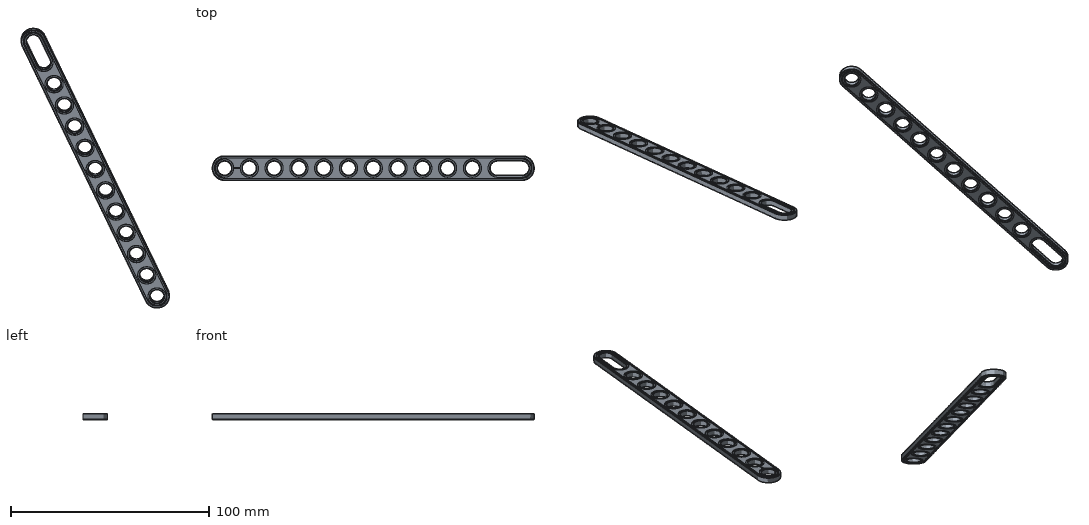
import cadquery as cq

length = 162.5
width = 12.5
thickness = width / 4

pitch = width
hole_count = 11
hole_diameter = 7.0
first_hole_x = -(length - width) / 2

slot_center_x = first_hole_x + (hole_count + 0.5) * pitch

border_diameter = 9.2
border_width = (border_diameter - hole_diameter) / 2
recess_depth = 0.2

edge_chamfer = 0.3

rib_length = 3.05
rib_width = 0.5


def rounded_bar(center_x, bar_width, straight_length, base_z, height):
    """Upright bar with semicircular ends, running along X."""
    profile = cq.Workplane("XY", origin=(center_x, 0, base_z)).slot2D(straight_length + bar_width, bar_width)
    return profile.extrude(height)


def openings(diameter, base_z, height):
    """All round holes and the slot as solids of the given width."""
    centers = [(first_hole_x + i * pitch, 0) for i in range(hole_count)]
    holes = cq.Workplane("XY", origin=(0, 0, base_z)).pushPoints(centers).circle(diameter / 2).extrude(height)
    return holes.union(rounded_bar(slot_center_x, diameter, pitch, base_z, height))


def chamfered_plate():
    """Plate pierced by all openings, with every face edge chamfered."""
    plate = rounded_bar(0, width, length - width, 0, thickness)
    plate = plate.cut(openings(hole_diameter, 0, thickness))
    return plate.faces("<Z or >Z").edges().chamfer(edge_chamfer)


def face_recess(base_z):
    """Shallow pocket between the outer border and the borders of the openings."""
    pocket = rounded_bar(0, width - 2 * border_width, length - width, base_z, recess_depth)
    return pocket.cut(openings(border_diameter, base_z, recess_depth))


def hole_rib(base_z):
    """Rib midway between the first two holes, level with the raised borders."""
    rib_center = (first_hole_x + pitch / 2, 0, base_z)
    return cq.Workplane("XY", origin=rib_center).rect(rib_length, rib_width).extrude(recess_depth)


top_recess_z = thickness - recess_depth
top_recess = face_recess(top_recess_z).cut(hole_rib(top_recess_z))
bottom_recess = face_recess(0)
result = chamfered_plate().cut(top_recess).cut(bottom_recess)